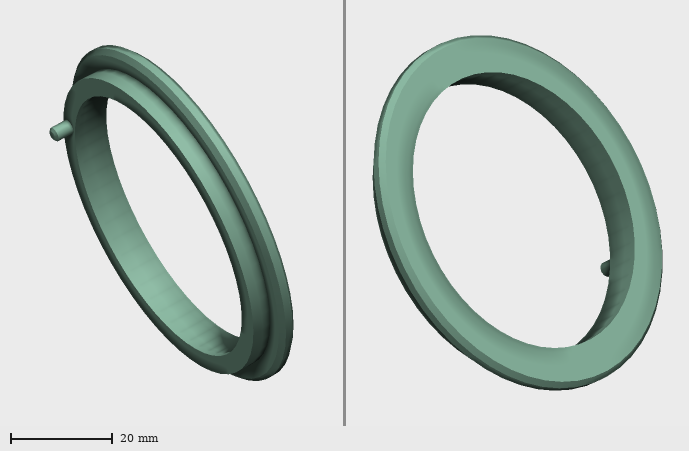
import cadquery as cq

bore_diameter = 57.0
spigot_diameter = 65.0
flange_diameter = 73.0
flange_thickness = 3.5
spigot_length = 4.0
flange_chamfer = 1.0

pin_diameter = 3.0
pin_length = 4.0
pin_chamfer = 0.5
pin_radius_from_axis = (bore_diameter + spigot_diameter) / 4

spigot_face_y = -(flange_thickness + spigot_length)


def disc(diameter, start_y, length, x=0.0):
    """Solid cylinder along Y, from start_y towards -Y."""
    return cq.Workplane("XZ", origin=(x, start_y, 0)).circle(diameter / 2).extrude(length)


def make_flange():
    return disc(flange_diameter, 0, flange_thickness).edges().chamfer(flange_chamfer)


def make_spigot():
    return disc(spigot_diameter, -flange_thickness, spigot_length)


def make_bore():
    return disc(bore_diameter, 0, flange_thickness + spigot_length)


def make_pin():
    pin = disc(pin_diameter, spigot_face_y, pin_length, x=-pin_radius_from_axis)
    return pin.faces("<Y").chamfer(pin_chamfer)


result = make_flange().union(make_spigot()).cut(make_bore()).union(make_pin())